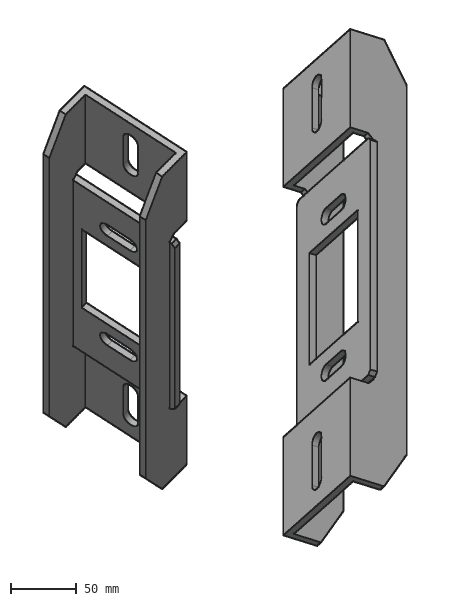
import cadquery as cq
import math

channel_height = 400.0
channel_width = 100.0
channel_depth = 50.0
sheet = 6.0
back_y = channel_depth / 2
front_y = -channel_depth / 2

slope_depth = 20.0
slope_angle = 60.0
slope_height = slope_depth * math.tan(math.radians(slope_angle))

notch_height = 224.0
notch_depth = 21.0
notch_chamfer = 5.0

web_slot_length = 50.0
web_slot_width = 14.0
web_slot_offset = 160.0

plate_width = 110.0
plate_height = 212.0
plate_chamfer = 3.0
window_width = 72.0
window_height = 100.0
plate_slot_length = 36.0
plate_slot_width = 14.0
plate_slot_offset = 70.0
plate_y = back_y - notch_depth + sheet / 2


def slot_cutters(length, width, angle, offset, thickness, center_y):
    """Two slots through a sheet facing Y, one above and one below mid-height."""
    return (
        cq.Workplane("XZ", origin=(0, center_y, 0))
        .pushPoints([(0, offset), (0, -offset)])
        .slot2D(length, width, angle)
        .extrude(thickness, both=True)
    )


def flange_profile():
    """Side outline of the channel, with sloped ends and a notch in the back."""
    top = channel_height / 2
    shoulder = top - slope_height
    slope_start_y = front_y + slope_depth
    notch_top = notch_height / 2
    floor_y = back_y - notch_depth
    floor_top = notch_top - notch_chamfer
    upper_half = [
        (front_y, shoulder),
        (slope_start_y, top),
        (back_y, top),
        (back_y, notch_top),
        (floor_y + notch_chamfer, notch_top),
        (floor_y, floor_top),
    ]
    lower_half = [(y, -z) for y, z in reversed(upper_half)]
    return upper_half + lower_half


def make_channel():
    body = (
        cq.Workplane("YZ")
        .polyline(flange_profile())
        .close()
        .extrude(channel_width / 2, both=True)
    )
    inner_space = cq.Workplane("XY").box(
        channel_width - 2 * sheet, channel_depth, channel_height
    ).translate((0, -sheet, 0))
    body = body.cut(inner_space)
    slots = slot_cutters(
        web_slot_length, web_slot_width, 90, web_slot_offset, sheet, back_y - sheet / 2
    )
    return body.cut(slots)


def make_plate():
    plate = (
        cq.Workplane("XY")
        .box(plate_width, sheet, plate_height)
        .edges("|Y")
        .chamfer(plate_chamfer)
    )
    window = cq.Workplane("XY").box(window_width, sheet, window_height)
    slots = slot_cutters(plate_slot_length, plate_slot_width, 0, plate_slot_offset, sheet, 0)
    return plate.cut(window).cut(slots).translate((0, plate_y, 0))


channel = make_channel()
plate = make_plate()

result = cq.Compound.makeCompound([channel.solids().val(), plate.solids().val()])